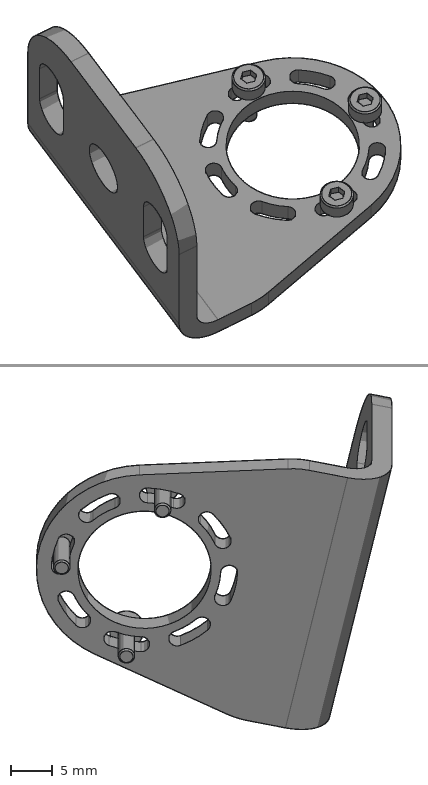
import cadquery as cq
import math

width = 35.0
depth = 39.6
thickness = 2.5
bend_inner_radius = 2.95
bend_outer_radius = bend_inner_radius + thickness

ring_outer_radius = 13.0
bore_radius = 8.0
taper_angle = 15.0
shoulder_radius = 10.0
front_y = ring_outer_radius - depth

slot_circle_radius = 10.17
slot_width = 2.0
slot_half_angle = 10.0
slot_count = 8

flange_height = 29.7
flange_corner_radius = 10.0
flange_hole_drop = 13.0
flange_hole_diameter = 6.5
flange_slot_spacing = 24.0
flange_slot_width = 5.45
flange_slot_length = 11.55

screw_circle_radius = slot_circle_radius
screw_angles = (0, 90, 180)
shank_diameter = 1.98
shank_protrusion = 3.52
head_diameter = 4.0
head_height = 2.0
screw_chamfer = 0.2
socket_corner_diameter = 1.98
socket_depth = 1.0
socket_turn = 15.0


def polar(radius, angle):
    """Point in the XY plane at the given radius and angle in degrees."""
    a = math.radians(angle)
    return (radius * math.cos(a), radius * math.sin(a))


def bent_sheet():
    """L-shaped sheet section with a rounded bend, spanning the full width."""
    back_y = front_y + depth
    inner_y = front_y + thickness
    section = (
        cq.Workplane("YZ")
        .moveTo(back_y, 0)
        .lineTo(front_y + bend_outer_radius, 0)
        .radiusArc((front_y, bend_outer_radius), bend_outer_radius)
        .lineTo(front_y, flange_height)
        .lineTo(inner_y, flange_height)
        .lineTo(inner_y, bend_outer_radius)
        .radiusArc((front_y + bend_outer_radius, thickness), -bend_inner_radius)
        .lineTo(back_y, thickness)
        .close()
    )
    return section.extrude(width / 2, both=True)


def plan_outline():
    """Plan shape: straight sides, tapering in to a tangent arc around the bore."""
    half_width = width / 2
    tangent_x, tangent_y = polar(ring_outer_radius, taper_angle)
    shoulder_y = tangent_y - (half_width - tangent_x) / math.tan(math.radians(taper_angle))
    body = (
        cq.Workplane("XY")
        .moveTo(-half_width, front_y)
        .lineTo(half_width, front_y)
        .lineTo(half_width, shoulder_y)
        .lineTo(tangent_x, tangent_y)
        .threePointArc((0, ring_outer_radius), (-tangent_x, tangent_y))
        .lineTo(-half_width, shoulder_y)
        .close()
        .extrude(flange_height)
    )
    margin = 0.4
    shoulders = cq.selectors.BoxSelector(
        (-half_width - margin, shoulder_y - margin, 0),
        (half_width + margin, shoulder_y + margin, flange_height),
    )
    return body.edges("|Z").edges(shoulders).fillet(shoulder_radius)


def arc_slot(angle):
    """Cutter for one round-ended slot that follows the slot circle."""
    inner = slot_circle_radius - slot_width / 2
    outer = slot_circle_radius + slot_width / 2
    start = angle - slot_half_angle
    end = angle + slot_half_angle
    band = (
        cq.Workplane("XY")
        .moveTo(*polar(inner, start))
        .threePointArc(polar(inner, angle), polar(inner, end))
        .lineTo(*polar(outer, end))
        .threePointArc(polar(outer, angle), polar(outer, start))
        .close()
        .extrude(thickness)
    )
    end_points = [polar(slot_circle_radius, a) for a in (start, end)]
    ends = cq.Workplane("XY").pushPoints(end_points).circle(slot_width / 2).extrude(thickness)
    return band.union(ends)


def flange_openings():
    """Cutter for the flange's central hole and its two upright slots."""
    plane = cq.Workplane("XZ", origin=(0, front_y, flange_height - flange_hole_drop))
    hole = plane.circle(flange_hole_diameter / 2).extrude(-thickness)
    slots = (
        plane.pushPoints([(-flange_slot_spacing / 2, 0), (flange_slot_spacing / 2, 0)])
        .slot2D(flange_slot_length, flange_slot_width, 90)
        .extrude(-thickness)
    )
    return hole.union(slots)


def screw(angle):
    """Socket-head screw seated on the ring plate."""
    head = (
        cq.Workplane("XY", origin=(0, 0, thickness))
        .circle(head_diameter / 2)
        .extrude(head_height)
        .faces(">Z")
        .chamfer(screw_chamfer)
    )
    socket = (
        cq.Workplane("XY", origin=(0, 0, thickness + head_height))
        .polygon(6, socket_corner_diameter)
        .extrude(-socket_depth)
        .rotate((0, 0, 0), (0, 0, 1), socket_turn)
    )
    shank = (
        cq.Workplane("XY", origin=(0, 0, -shank_protrusion))
        .circle(shank_diameter / 2)
        .extrude(shank_protrusion + thickness)
        .faces("<Z")
        .chamfer(screw_chamfer)
    )
    x, y = polar(screw_circle_radius, angle)
    return head.cut(socket).union(shank).translate((x, y, 0))


bracket = bent_sheet().edges("|Y and >Z").fillet(flange_corner_radius)
bracket = bracket.intersect(plan_outline())
bracket = bracket.cut(cq.Workplane("XY").circle(bore_radius).extrude(thickness))
for index in range(slot_count):
    bracket = bracket.cut(arc_slot(index * 360 / slot_count))
bracket = bracket.cut(flange_openings())

result = bracket
for screw_angle in screw_angles:
    result = result.union(screw(screw_angle))